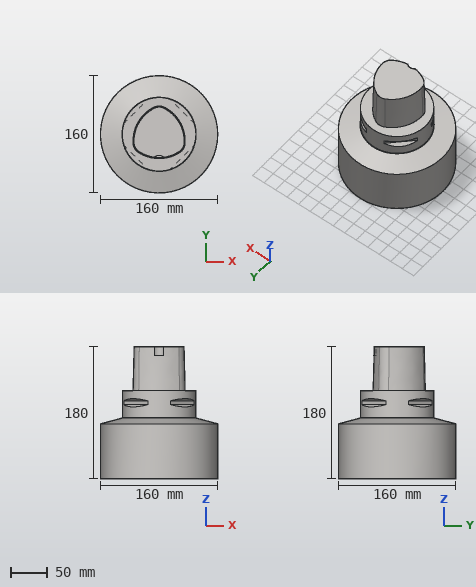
import cadquery as cq
import math

total_height = 180.0
body_diameter = 160.0
body_height = 75.0
collar_diameter = 100.0
collar_bottom = 83.5
collar_top = 120.0
relief_width = 0.5
cone_angle = 15.0

lobe_count = 3
lobe_distance = 21.6
lobe_radius = 17.0
flank_reach = 33.1
reach_difference = flank_reach - lobe_radius
flank_distance = (lobe_distance**2 - reach_difference**2) / (2 * reach_difference - lobe_distance)
taper_ratio = 1 / 40

groove_count = 4
groove_start_angle = 45.0
groove_height = 103.7
groove_floor_width = 4.9
groove_depth = 5.5
groove_wall_angle = 30.0
cutter_overhang = 1.8

notch_radius = 8.1
notch_height = 11.7
notch_depth = 3.0


def make_body():
    body_radius = body_diameter / 2
    collar_radius = collar_diameter / 2
    cone_radius = collar_radius + relief_width
    cone_top = body_height + (body_radius - cone_radius) * math.tan(math.radians(cone_angle))
    return (
        cq.Workplane("XZ")
        .lineTo(body_radius, 0)
        .lineTo(body_radius, body_height)
        .lineTo(cone_radius, cone_top)
        .lineTo(collar_radius, collar_bottom)
        .lineTo(collar_radius, collar_top)
        .lineTo(0, collar_top)
        .close()
        .revolve(360, (0, 0), (0, 1))
    )


def polar(radius, degrees, center=(0, 0)):
    angle = math.radians(degrees)
    return (center[0] + radius * math.cos(angle), center[1] + radius * math.sin(angle))


def make_shank():
    lobe_spacing = 360 / lobe_count
    offset_x, offset_y = polar(flank_distance, lobe_spacing)
    lobe_half_angle = math.degrees(math.atan2(offset_y, lobe_distance - offset_x))
    first_lobe_angle = 90
    first_center = polar(lobe_distance, first_lobe_angle)
    profile = cq.Workplane("XY", origin=(0, 0, collar_top))
    profile = profile.moveTo(*polar(lobe_radius, first_lobe_angle - lobe_half_angle, first_center))
    for index in range(lobe_count):
        lobe_angle = first_lobe_angle + index * lobe_spacing
        lobe_center = polar(lobe_distance, lobe_angle)
        next_angle = lobe_angle + lobe_spacing
        next_center = polar(lobe_distance, next_angle)
        profile = profile.threePointArc(
            polar(lobe_radius, lobe_angle, lobe_center),
            polar(lobe_radius, lobe_angle + lobe_half_angle, lobe_center),
        )
        profile = profile.threePointArc(
            polar(flank_reach, lobe_angle + lobe_spacing / 2),
            polar(lobe_radius, next_angle - lobe_half_angle, next_center),
        )
    taper_angle = math.degrees(math.atan(taper_ratio))
    return profile.close().extrude(total_height - collar_top, taper=taper_angle)


def make_groove():
    """Straight trapezoidal groove cutter on the +X side of the collar."""
    floor_x = collar_diameter / 2 - groove_depth
    mouth_x = collar_diameter / 2 + cutter_overhang
    half_floor = groove_floor_width / 2
    half_mouth = half_floor + (mouth_x - floor_x) * math.tan(math.radians(groove_wall_angle))
    return (
        cq.Workplane("XZ", origin=(0, 0, groove_height))
        .moveTo(floor_x, -half_floor)
        .lineTo(mouth_x, -half_mouth)
        .lineTo(mouth_x, half_mouth)
        .lineTo(floor_x, half_floor)
        .close()
        .extrude(collar_diameter / 2, both=True)
    )


def make_notch():
    shank_length = total_height - collar_top
    top_flank_y = -flank_reach + taper_ratio * shank_length
    center_y = top_flank_y + notch_depth - notch_radius
    return (
        cq.Workplane("XY", origin=(0, center_y, total_height - notch_height))
        .circle(notch_radius)
        .extrude(notch_height)
    )


result = make_body().union(make_shank()).cut(make_notch())
groove = make_groove()
for index in range(groove_count):
    groove_angle = groove_start_angle + index * 360 / groove_count
    result = result.cut(groove.rotate((0, 0, 0), (0, 0, 1), groove_angle))